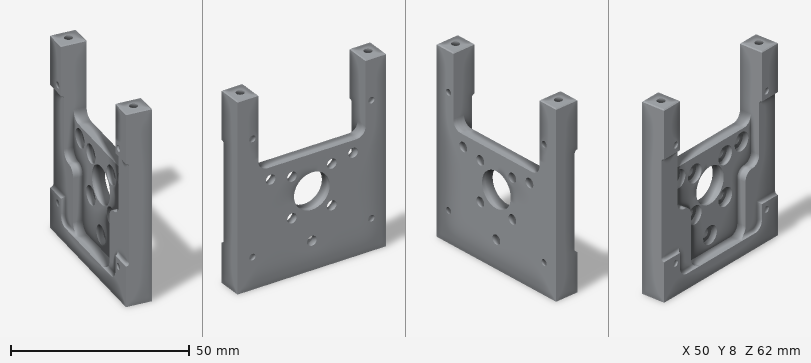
import cadquery as cq
import math

WIDTH = 50.0
THICKNESS = 8.0
HEIGHT = 62.0
FRONT_Y = -THICKNESS / 2
THROUGH = 2 * THICKNESS

LEG_WIDTH = 7.0
OPENING_HALF_WIDTH = WIDTH / 2 - LEG_WIDTH
CORNER_RADIUS = 3.0
LEG_TOP_CHAMFER = 0.3

BORE_DIAMETER = 12.0
BORE_Z = 25.5
WEB_ABOVE_BORE = 12.0
WEB_TOP_Z = BORE_Z + WEB_ABOVE_BORE

POCKET_DEPTH = 4.0
POCKET_BOTTOM_Z = 5.0
POCKET_HALF_WIDTH_LOWER = OPENING_HALF_WIDTH - 2 * CORNER_RADIUS

SCREW_DIAMETER = 3.2
COUNTERBORE_DIAMETER = 6.0
COUNTERBORE_DEPTH = 2.0
MOTOR_HOLE_OFFSET = 6.7
OUTER_CIRCLE_RADIUS = 16.0
OUTER_HOLE_ANGLES = (30, 150, 270)

RELIEF_DEPTH = 1.0
COVE_RADIUS = RELIEF_DEPTH
PAD_TOP_Z = 13.0
RELIEF_TOP_Z = 46.0

CROSS_HOLE_DIAMETER = 2.08
CROSS_HOLE_X = 20.0
CROSS_HOLE_HEIGHTS = (10.5, 48.5)
END_HOLE_DIAMETER = 2.53
END_HOLE_DEPTH = 10.0
END_HOLE_X = WIDTH / 2 - LEG_WIDTH / 2


def front_plane(y=FRONT_Y):
    """Sketch plane parallel to XZ at depth y; a negative extrusion goes towards +Y."""
    return cq.Workplane(cq.Plane(origin=(0, y, 0), xDir=(1, 0, 0), normal=(0, -1, 0)))


def make_frame():
    """Block with the upper opening between the legs and chamfered leg tops."""
    block = cq.Workplane("XY").box(WIDTH, THICKNESS, HEIGHT, centered=(True, True, False))
    opening_height = HEIGHT - WEB_TOP_Z
    opening = (
        cq.Workplane("XY", origin=(0, 0, WEB_TOP_Z))
        .box(2 * OPENING_HALF_WIDTH, THROUGH, opening_height, centered=(True, True, False))
        .edges("|Y and <Z")
        .fillet(CORNER_RADIUS)
    )
    return block.cut(opening).faces(">Z").chamfer(LEG_TOP_CHAMFER)


def make_pocket():
    """Front pocket: both shoulders are S-curves of two equal arcs."""
    wide = OPENING_HALF_WIDTH
    narrow = POCKET_HALF_WIDTH_LOWER
    r = CORNER_RADIUS
    bend = r * math.sqrt(0.5)
    shoulder = BORE_Z
    floor = POCKET_BOTTOM_Z
    half = (
        front_plane()
        .moveTo(0, floor)
        .lineTo(narrow - r, floor)
        .threePointArc((narrow - r + bend, floor + r - bend), (narrow, floor + r))
        .lineTo(narrow, shoulder - r)
        .threePointArc((narrow + r - bend, shoulder - r + bend), (narrow + r, shoulder))
        .threePointArc((wide - r + bend, shoulder + r - bend), (wide, shoulder + r))
        .lineTo(wide, WEB_TOP_Z + r)
        .lineTo(0, WEB_TOP_Z + r)
        .close()
        .extrude(-POCKET_DEPTH)
    )
    return half.union(half.mirror("YZ"))


def make_relief():
    """Front relief, full width above the pads, with a cove along its floor edge."""
    upper_height = RELIEF_TOP_Z - PAD_TOP_Z
    lower_height = WEB_TOP_Z - POCKET_BOTTOM_Z
    upper = (
        cq.Workplane("XY", origin=(0, FRONT_Y, PAD_TOP_Z))
        .box(2 * WIDTH, 2 * RELIEF_DEPTH, upper_height, centered=(True, True, False))
    )
    lower = (
        cq.Workplane("XY", origin=(0, FRONT_Y, POCKET_BOTTOM_Z))
        .box(2 * OPENING_HALF_WIDTH, 2 * RELIEF_DEPTH, lower_height, centered=(True, True, False))
        .edges("|Y and <Z")
        .fillet(CORNER_RADIUS)
    )
    return upper.union(lower).faces(">Y").edges().fillet(COVE_RADIUS)


def screw_positions():
    """(X, Z) of the four motor holes and the three outer holes."""
    s = MOTOR_HOLE_OFFSET
    points = [(x, BORE_Z + z) for x in (-s, s) for z in (-s, s)]
    for angle in OUTER_HOLE_ANGLES:
        a = math.radians(angle)
        points.append((OUTER_CIRCLE_RADIUS * math.cos(a), BORE_Z + OUTER_CIRCLE_RADIUS * math.sin(a)))
    return points


def drill(points, diameter, start_y, depth):
    """Cylinders along +Y from start_y at the given (X, Z) points."""
    return front_plane(start_y).pushPoints(points).circle(diameter / 2).extrude(-depth)


def make_end_holes():
    """Blind holes down into the leg tops."""
    return (
        cq.Workplane("XY", origin=(0, 0, HEIGHT))
        .pushPoints([(-END_HOLE_X, 0), (END_HOLE_X, 0)])
        .circle(END_HOLE_DIAMETER / 2)
        .extrude(-END_HOLE_DEPTH)
    )


pocket_floor_y = FRONT_Y + POCKET_DEPTH
cross_points = [(x, z) for x in (-CROSS_HOLE_X, CROSS_HOLE_X) for z in CROSS_HOLE_HEIGHTS]

result = (
    make_frame()
    .cut(make_relief())
    .cut(make_pocket())
    .cut(drill([(0, BORE_Z)], BORE_DIAMETER, FRONT_Y, THROUGH))
    .cut(drill(screw_positions(), SCREW_DIAMETER, FRONT_Y, THROUGH))
    .cut(drill(screw_positions(), COUNTERBORE_DIAMETER, pocket_floor_y, COUNTERBORE_DEPTH))
    .cut(drill(cross_points, CROSS_HOLE_DIAMETER, FRONT_Y, THROUGH))
    .cut(make_end_holes())
)